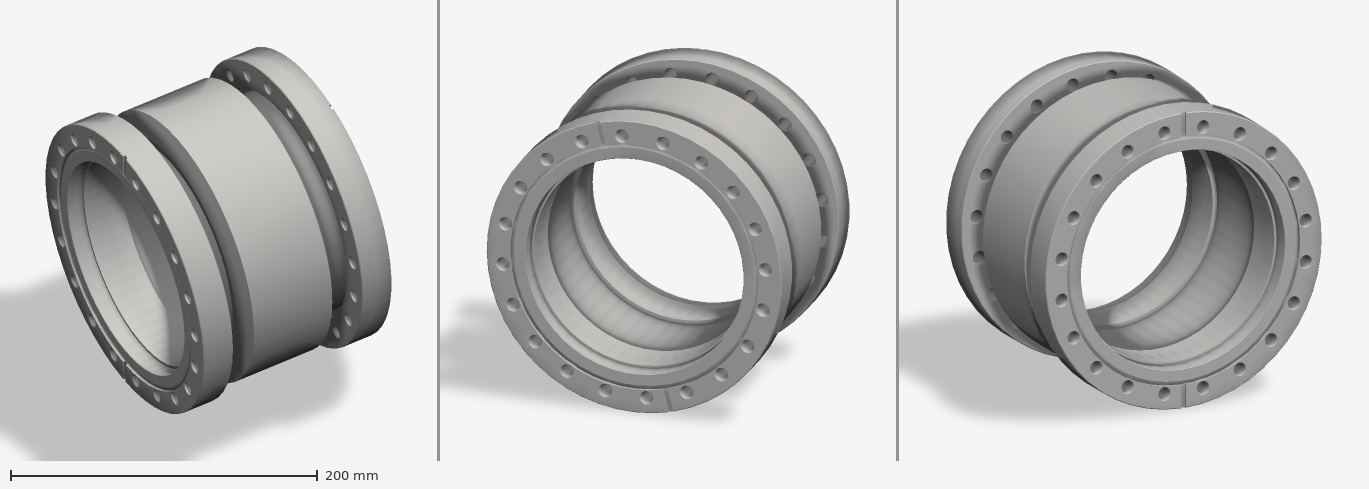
import cadquery as cq

overall_length = 142.7
half_length = overall_length / 2
flange_radius = 101.2
flange_thickness = 22.5
flange_edge_chamfer = 0.5

bolt_count = 20
bolt_pitch = 360.0 / bolt_count
bolt_circle_radius = 90.5
bolt_hole_radius = 4.3
bolt_hole_chamfer = 0.5

recess_radius = 85.2
recess_depth = 2.2
knife_radius = 82.5
knife_depth = 1.0
flange_bore_radius = 74.7
flange_bore_chamfer = 0.3
tube_seat_depth = 12.8

groove_width = 3.5
groove_depth = 1.52
groove_overlap = 0.2

rotatable_ring_turn = 14.4
rotatable_ring_bore_radius = 81.0
weld_ring_back_depth = 15.2

tube_outer_radius = 76.3
tube_bore_radius = 72.9
shoulder_inner_radius = 80.4
shoulder_depth = 36.8

sleeve_outer_radius = 95.3
sleeve_bore_radius = tube_outer_radius
sleeve_end_depth = 41.7

AXIS_START = (0, 0, 0)
AXIS_END = (0, 1, 0)


def turned(body, angle):
    """Turn a body about the Y axis."""
    return body.rotate(AXIS_START, AXIS_END, angle)


def revolved(profile):
    """Front-end solid of revolution from (radius, depth below the front face) points."""
    points = [(radius, depth - half_length) for radius, depth in profile]
    return cq.Workplane("XY").polyline(points).close().revolve(360, AXIS_START, AXIS_END)


def at_rear(body):
    """Mirror a body made for the front end to the rear end."""
    return body.mirror("XZ")


def rim_profile():
    """Outer outline shared by both flanges, from the recess edge round to the back face."""
    chamfer = flange_edge_chamfer
    return [
        (recess_radius, 0),
        (flange_radius - chamfer, 0),
        (flange_radius, chamfer),
        (flange_radius, flange_thickness - chamfer),
        (flange_radius - chamfer, flange_thickness),
    ]


def sealing_profile():
    """Bore edge, flat land and sloping knife edge down to the recess corner."""
    return [
        (flange_bore_radius, knife_depth + flange_bore_chamfer),
        (flange_bore_radius + flange_bore_chamfer, knife_depth),
        (knife_radius, knife_depth),
        (recess_radius, recess_depth),
    ]


def cut_bolt_holes(flange):
    """Cut the circle of through holes, chamfered at both faces."""
    wide_radius = bolt_hole_radius + bolt_hole_chamfer
    hole = revolved([
        (0, 0),
        (wide_radius, 0),
        (bolt_hole_radius, bolt_hole_chamfer),
        (bolt_hole_radius, flange_thickness - bolt_hole_chamfer),
        (wide_radius, flange_thickness),
        (0, flange_thickness),
    ]).translate((0, 0, bolt_circle_radius))
    for i in range(bolt_count):
        flange = flange.cut(turned(hole, (i + 0.5) * bolt_pitch))
    return flange


def cut_leak_grooves(flange):
    """Cut two opposite radial grooves that open into the recess and the rim."""
    length = flange_radius - recess_radius + 2 * groove_overlap
    groove = (
        cq.Workplane("XY")
        .box(groove_width, groove_depth, length, centered=(True, False, False))
        .translate((0, -half_length, recess_radius - groove_overlap))
    )
    for angle in (0, 180):
        flange = flange.cut(turned(groove, angle))
    return flange


def make_fixed_flange():
    """One-piece flange with a seat for the end of the tube."""
    flange = revolved([
        *sealing_profile(),
        *rim_profile(),
        (tube_outer_radius, flange_thickness),
        (tube_outer_radius, tube_seat_depth),
        (flange_bore_radius, tube_seat_depth),
    ])
    return cut_leak_grooves(cut_bolt_holes(flange))


def make_rotatable_ring():
    """Bolting ring whose inner lip catches the back of the weld ring."""
    ring = revolved([
        *rim_profile(),
        (rotatable_ring_bore_radius, flange_thickness),
        (rotatable_ring_bore_radius, weld_ring_back_depth),
        (recess_radius, weld_ring_back_depth),
    ])
    return cut_leak_grooves(cut_bolt_holes(ring))


def make_weld_ring():
    """Sealing ring that carries the tube inside the rotatable ring."""
    return revolved([
        *sealing_profile(),
        (recess_radius, weld_ring_back_depth),
        (tube_outer_radius, weld_ring_back_depth),
        (tube_outer_radius, tube_seat_depth),
        (flange_bore_radius, tube_seat_depth),
    ])


def make_end_fitting():
    """Tube with a shoulder that closes one end of the sleeve."""
    return revolved([
        (tube_bore_radius, tube_seat_depth),
        (tube_outer_radius, tube_seat_depth),
        (tube_outer_radius, shoulder_depth),
        (shoulder_inner_radius, shoulder_depth),
        (sleeve_outer_radius, sleeve_end_depth),
        (tube_bore_radius, sleeve_end_depth),
    ])


def make_sleeve():
    """Plain sleeve between the end fittings."""
    far_end_depth = overall_length - sleeve_end_depth
    return revolved([
        (sleeve_bore_radius, sleeve_end_depth),
        (sleeve_outer_radius, sleeve_end_depth),
        (sleeve_outer_radius, far_end_depth),
        (sleeve_bore_radius, far_end_depth),
    ])


fixed_flange = make_fixed_flange()
rotatable_ring = turned(at_rear(make_rotatable_ring()), rotatable_ring_turn)
weld_ring = at_rear(make_weld_ring())
end_fitting = make_end_fitting()
end_fittings = [end_fitting, at_rear(end_fitting)]
sleeve = make_sleeve()

result = cq.Compound.makeCompound([
    fixed_flange.val(),
    rotatable_ring.val(),
    weld_ring.val(),
    *[fitting.val() for fitting in end_fittings],
    sleeve.val(),
])